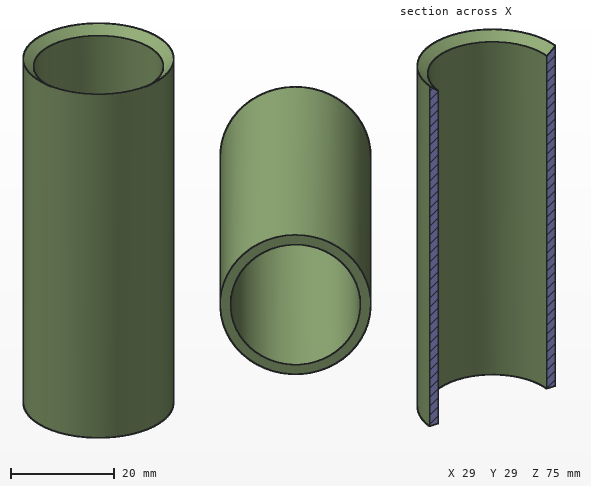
import cadquery as cq

length = 75.0
outer_diameter = 29.0
bore_diameter = 25.0
countersink_depth = 1.65

outer_radius = outer_diameter / 2
bore_radius = bore_diameter / 2
half_length = length / 2

wall_section = (
    cq.Workplane("XZ")
    .moveTo(bore_radius, -half_length)
    .lineTo(outer_radius, -half_length)
    .lineTo(outer_radius, half_length)
    .lineTo(bore_radius, half_length - countersink_depth)
    .close()
)

result = wall_section.revolve(360, (0, 0, 0), (0, 1, 0))